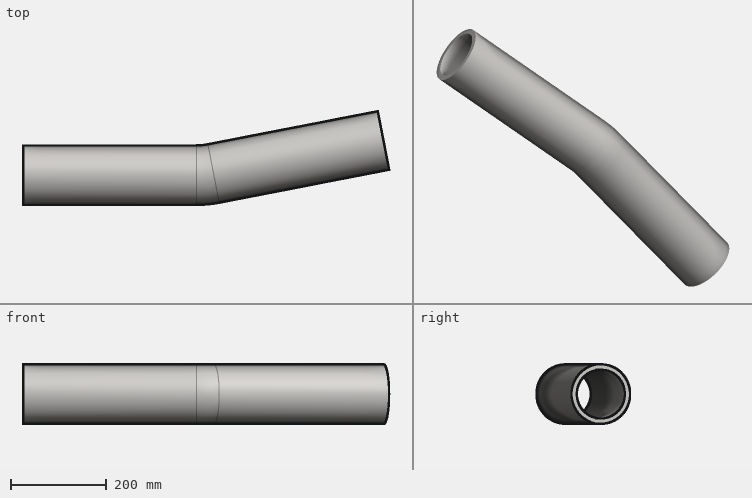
import cadquery as cq
import math

outer_diameter = 125.0
bore_diameter = 102.2
bend_angle = 11.0
leg_to_corner = 380.0
bend_radius = 1.5 * outer_diameter

tangent_length = bend_radius * math.tan(math.radians(bend_angle / 2))
straight_length = leg_to_corner - tangent_length


def ring(plane):
    """Annular pipe section on the given plane, centred on its origin."""
    return cq.Workplane(plane).circle(outer_diameter / 2).circle(bore_diameter / 2)


def straight_pipe(plane):
    """Straight leg running along the plane normal."""
    return ring(plane).extrude(straight_length)


def bend(plane):
    """Circular-arc bend turning about a vertical axis on the +Y side."""
    axis_start = (-bend_radius, 0)
    axis_end = (-bend_radius, -1)
    return ring(plane).revolve(bend_angle, axis_start, axis_end)


def pipe_section(x, y, heading):
    """Plane square to the pipe axis, with its normal at the heading angle from +X."""
    angle = math.radians(heading)
    normal = (math.cos(angle), math.sin(angle), 0)
    sideways = (math.sin(angle), -math.cos(angle), 0)
    return cq.Plane(origin=(x, y, 0), xDir=sideways, normal=normal)


inlet = pipe_section(0, 0, 0)
bend_start = pipe_section(straight_length, 0, 0)

bend_end_x = straight_length + bend_radius * math.sin(math.radians(bend_angle))
bend_end_y = bend_radius * (1 - math.cos(math.radians(bend_angle)))
bend_end = pipe_section(bend_end_x, bend_end_y, bend_angle)

result = straight_pipe(inlet).union(bend(bend_start)).union(straight_pipe(bend_end))